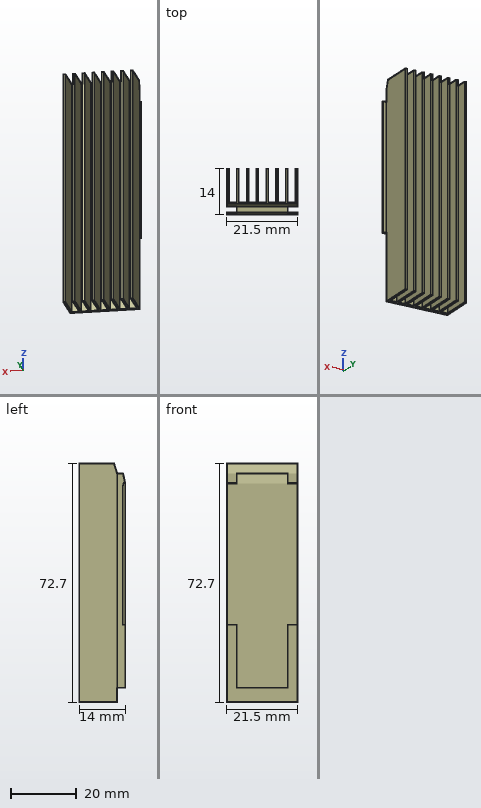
import cadquery as cq

width = 21.5
height = 72.65
body_depth = 11.55
fin_count = 8
fin_thickness = 0.65
fin_length = 10.25
body_bevel_depth = 0.95
body_bevel_height = 3.05

total_depth = 14.0
pad_width = 15.55
pad_bottom = 4.35
pad_top = 69.6
pad_bevel_depth = 0.65
pad_bevel_height = 3.1
pad_edge_break = 0.15

plate_thickness = 0.7
plate_bottom = 23.5
plate_top = 66.7
plate_edge_break = 0.2
plate_back_bevel_height = 0.8

body_front = -body_depth
pad_front = -total_depth
fin_pitch = (width - fin_thickness) / (fin_count - 1)


def extrude_across(points, across):
    """Extrude a (Y, Z) outline along X, centred on X = 0."""
    return cq.Workplane("YZ").polyline(points).close().extrude(across / 2, both=True)


def make_body():
    """Block with a bevelled front top edge and vertical channels between the fins."""
    body = extrude_across(
        [
            (0, 0),
            (body_front, 0),
            (body_front, height - body_bevel_height),
            (body_front + body_bevel_depth, height),
            (0, height),
        ],
        width,
    )
    channel_width = fin_pitch - fin_thickness
    for index in range(fin_count - 1):
        channel_left = -width / 2 + fin_thickness + index * fin_pitch
        channel = cq.Workplane("XY").box(channel_width, fin_length, height, centered=False)
        body = body.cut(channel.translate((channel_left, -fin_length, 0)))
    return body


def make_pad():
    """Pad with a long front bevel and a small break along its top edge."""
    bevel_back = pad_front + pad_bevel_depth
    return extrude_across(
        [
            (body_front, pad_bottom),
            (pad_front, pad_bottom),
            (pad_front, pad_top - pad_bevel_height),
            (bevel_back, pad_top - pad_edge_break),
            (bevel_back + pad_edge_break, pad_top),
            (body_front, pad_top),
        ],
        pad_width,
    )


def make_plate():
    """Plate whose top edge is broken at the front and bevelled steeply at the back."""
    plate_back = pad_front + plate_thickness
    return extrude_across(
        [
            (plate_back, plate_bottom),
            (pad_front, plate_bottom),
            (pad_front, plate_top - plate_edge_break),
            (pad_front + plate_edge_break, plate_top),
            (plate_back - plate_edge_break, plate_top),
            (plate_back, plate_top - plate_back_bevel_height),
        ],
        width,
    )


result = make_body().union(make_pad()).union(make_plate())